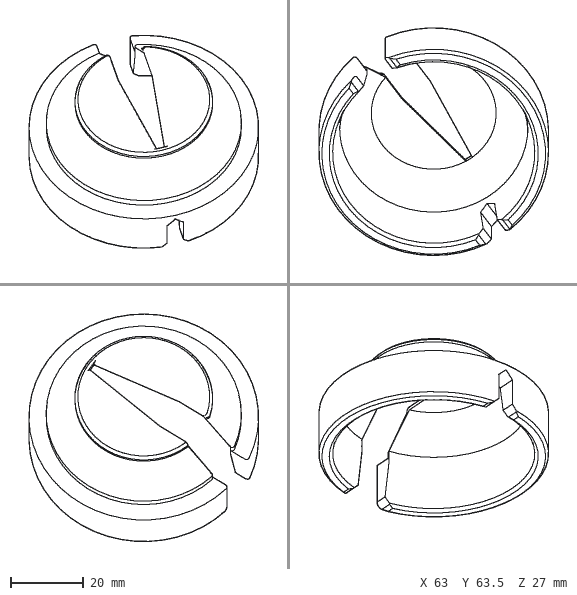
import cadquery as cq

base_radius = 31.75
base_height = 14.35
shoulder_radius = 27.0
shoulder_top = 16.45
crown_radius = 19.05
crown_bottom = 25.4
total_height = 27.0
edge_break = 0.8

mouth_radius = 28.05
throat_radius = 26.05
throat_bottom = 12.6
ceiling_radius = 17.3
ceiling_height = 25.5

slot_half_width = 4.75
slot_taper_start = -8.65
slot_end = ceiling_radius
slot_end_half_width = 1.1
slot_edge_radius = 0.75

notch_half_width = 2.35
notch_peak = throat_bottom
notch_eave = notch_peak - notch_half_width

flare = 2.3


def make_outer_body():
    profile = (
        cq.Workplane("XZ")
        .lineTo(base_radius, 0)
        .lineTo(base_radius, base_height)
        .lineTo(shoulder_radius, base_height)
        .lineTo(shoulder_radius, shoulder_top)
        .lineTo(crown_radius, crown_bottom)
        .lineTo(crown_radius, total_height - edge_break)
        .lineTo(crown_radius - edge_break, total_height)
        .lineTo(0, total_height)
        .close()
    )
    return profile.revolve(360, (0, 0), (0, 1))


def make_cavity():
    profile = (
        cq.Workplane("XZ")
        .lineTo(mouth_radius, 0)
        .lineTo(throat_radius, throat_bottom)
        .lineTo(throat_radius, shoulder_top)
        .lineTo(ceiling_radius, ceiling_height)
        .lineTo(0, ceiling_height)
        .close()
    )
    return profile.revolve(360, (0, 0), (0, 1))


def make_slot():
    outline = [
        (-base_radius, -slot_half_width),
        (slot_taper_start, -slot_half_width),
        (slot_end, -slot_end_half_width),
        (slot_end, slot_end_half_width),
        (slot_taper_start, slot_half_width),
        (-base_radius, slot_half_width),
    ]
    return cq.Workplane("XY").polyline(outline).close().extrude(total_height)


def make_flare(half_width):
    """Wedge along +X from the axis that widens an opening at the bottom."""
    outline = [
        (-half_width - flare, 0),
        (half_width + flare, 0),
        (half_width, flare),
        (-half_width, flare),
    ]
    return cq.Workplane("YZ").polyline(outline).close().extrude(base_radius)


def make_notch():
    outline = [
        (-notch_half_width, 0),
        (notch_half_width, 0),
        (notch_half_width, notch_eave),
        (0, notch_peak),
        (-notch_half_width, notch_eave),
    ]
    opening = cq.Workplane("YZ").polyline(outline).close().extrude(base_radius)
    return opening.union(make_flare(notch_half_width))


def round_slot_edges(body):
    """Round the rims of the slot walls from the base side up to the top face."""
    margin = 0.005

    def is_rounded(edge):
        box = edge.BoundingBox()
        center = edge.Center()
        between_walls = abs(box.ymin) < slot_half_width + margin and abs(box.ymax) < slot_half_width + margin
        on_slot_rim = between_walls and box.xmax - box.xmin < base_radius and box.xmin < slot_end - margin
        above_bottom = box.zmax > margin
        on_ledge = abs(center.z - base_height) < margin
        inside_top = center.z < total_height - margin and center.x > slot_taper_start - margin
        return on_slot_rim and above_bottom and not on_ledge and not inside_top

    rim = [edge for edge in body.edges().vals() if is_rounded(edge)]
    return body.newObject(rim).fillet(slot_edge_radius)


slotted_body = round_slot_edges(make_outer_body().cut(make_slot()))
slot_flare = make_flare(slot_half_width).mirror("YZ")
hollow_body = slotted_body.cut(make_cavity()).cut(make_notch()).cut(slot_flare)
result = hollow_body.faces("<Z").edges().chamfer(edge_break)